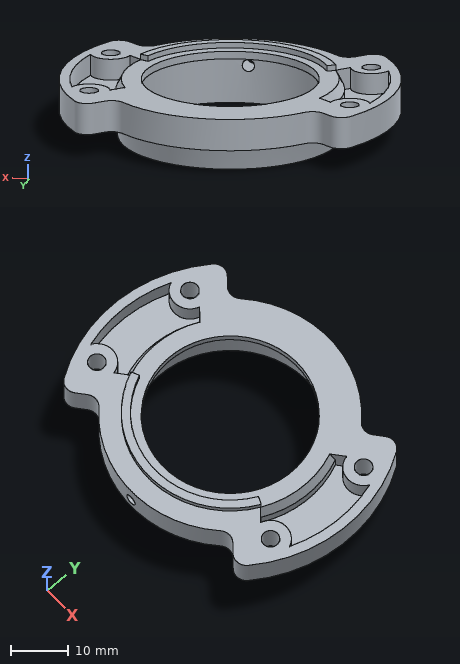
import cadquery as cq
import math

spigot_height = 4.5
plate_thickness = 5.75
rib_height = 1.0
plate_top = spigot_height + plate_thickness

ear_radius = 29.9
body_radius = 22.95
ear_angle = 40.0
corner_radius = 2.4

spigot_top_radius = 20.55
spigot_bottom_radius = 19.65

lip_radius = 31.0 / 2
bore_radius = 36.0 / 2
lip_thickness = 1.4

rib_outer_radius = 19.0
rib_inner_radius = 17.4
rib_end_angle = 24.5

pocket_depth = 3.8
pocket_taper_depth = 1.9
pocket_outer_radius = 28.0
pocket_top_radius = rib_outer_radius
pocket_floor_radius = 19.95
pocket_end_offset = 4.95

screw_diameter = 3.2
screw_x = 23.1
screw_y = 10.75
boss_radius = 3.65
screw_points = [(sx * screw_x, sy * screw_y) for sx in (-1, 1) for sy in (-1, 1)]

side_hole_diameter = 2.15
side_hole_z = spigot_height + 2.4


def polar(radius, degrees):
    angle = math.radians(degrees)
    return radius * math.cos(angle), radius * math.sin(angle)


def cylinder(radius, bottom, top):
    return cq.Workplane("XY").workplane(offset=bottom).circle(radius).extrude(top - bottom)


def cone(bottom_radius, top_radius, bottom, top):
    profile = [(0, bottom), (bottom_radius, bottom), (top_radius, top), (0, top)]
    return cq.Workplane("XZ").polyline(profile).close().revolve(360, (0, 0), (0, 1))


def bow_tie(offset, reach, bottom, top):
    """Two opposite wedges along X, edges parallel to the ear edges and moved inward by offset."""
    apex = offset / math.sin(math.radians(ear_angle))
    half_width = (reach - apex) * math.tan(math.radians(ear_angle))
    wedges = cq.Workplane("XY").workplane(offset=bottom)
    for side in (-1, 1):
        wedges = wedges.polyline(
            [(side * apex, 0), (side * reach, half_width), (side * reach, -half_width)]
        ).close()
    return wedges.extrude(top - bottom)


def make_flange():
    """Round body with two ears; each ear edge is radial, rounded at its tip and root."""
    ears = cylinder(ear_radius, spigot_height, plate_top).intersect(
        bow_tie(0, 2 * ear_radius, spigot_height, plate_top)
    )
    flange = cylinder(body_radius, spigot_height, plate_top).union(ears)
    tips_and_roots = [
        edge
        for edge in flange.edges("|Z").vals()
        if abs(edge.Center().y) > screw_y
    ]
    return flange.newObject(tips_and_roots).fillet(corner_radius)


def make_pockets():
    floor = plate_top - pocket_depth
    taper_bottom = plate_top - pocket_taper_depth
    ring = cylinder(pocket_outer_radius, floor, plate_top)
    ring = ring.cut(cylinder(pocket_floor_radius, floor, taper_bottom))
    ring = ring.cut(cone(pocket_floor_radius, pocket_top_radius, taper_bottom, plate_top))
    pockets = ring.intersect(bow_tie(pocket_end_offset, 2 * ear_radius, floor, plate_top))
    bosses = (
        cq.Workplane("XY").workplane(offset=floor).pushPoints(screw_points)
        .circle(boss_radius).extrude(pocket_depth)
    )
    between_rows = cq.Workplane("XY").box(
        2 * ear_radius, 2 * screw_y, plate_top, centered=(True, True, False)
    )
    return pockets.intersect(between_rows).cut(bosses)


def make_rib():
    start, end = 180 + rib_end_angle, 360 - rib_end_angle
    return (
        cq.Workplane("XY").workplane(offset=plate_top)
        .moveTo(*polar(rib_outer_radius, start))
        .threePointArc(polar(rib_outer_radius, 270), polar(rib_outer_radius, end))
        .lineTo(*polar(rib_inner_radius, end))
        .threePointArc(polar(rib_inner_radius, 270), polar(rib_inner_radius, start))
        .close().extrude(rib_height)
    )


def make_screw_holes():
    return cq.Workplane("XY").pushPoints(screw_points).circle(screw_diameter / 2).extrude(plate_top)


def make_side_hole():
    return (
        cq.Workplane("XZ").center(0, side_hole_z)
        .circle(side_hole_diameter / 2).extrude(ear_radius)
    )


spigot = cone(spigot_bottom_radius, spigot_top_radius, 0, spigot_height)
result = make_flange().union(spigot)
result = result.cut(cylinder(bore_radius, 0, plate_top - lip_thickness))
result = result.cut(cylinder(lip_radius, 0, plate_top))
result = result.cut(make_pockets()).union(make_rib())
result = result.cut(make_screw_holes()).cut(make_side_hole())